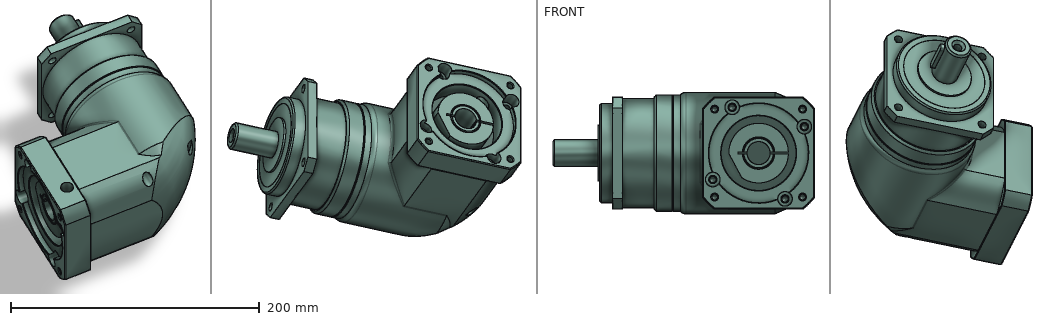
import cadquery as cq
import math


shaft_tip_x = -165.5
disc_x = -129.3
pilot_x = -127.8
flange_x = -117.5
flange_back_x = -109.7
ring_x = -84.0
joint_x = -69.0
collar_end_x = -63.0
elbow_x = -58.5

shaft_radius = 11.0
shaft_chamfer = 1.5
disc_radius = 22.5
pilot_radius = 40.0
pilot_chamfer = 1.3
seal_recess_radius = 34.3
seal_recess_depth = 0.2
square_side = 90.1
flange_corner = 8.6
flange_hole_radius = 3.4
corner_hole_offset = 35.4
body_radius = 44.0
ring_radius = 47.0
ring_chamfer = 2.0
joint_chamfer = 0.6
key_start_x = -162.0
key_length = 28.0
key_width = 6.1
key_top_y = 13.7
center_hole_radius = 3.4
center_hole_mouth_radius = 5.7
center_hole_depth = 19.0

elbow_radius = 98.0 / 2
elbow_taper_x = 13.3
elbow_taper_end_x = 24.6
elbow_end_radius = 44.0
leg_corner_radius = 51.0
crook_fillet = 2.1
dome_crown = 29.5
dome_sweep_radius = 122.1
dome_crown_radius = 75.8
leg_end_y = 10.5
side_hole_radius = 4.0
side_hole_y = -21.7
side_hole_z = 37.5
side_hole_end_x = 21.0
plug_radius = 6.3
plug_shift = 17.5
plug_z = 17.5
plug_floor = 24.9
tube_radius = 12.6
tube_bore_radius = 9.3
tube_chamfer = 0.8
tube_slot_width = 1.7
input_bore_depth = 29.5

overall_depth = 150.5
plate_front_y = elbow_radius - overall_depth
plate_back_y = -78.1
plate_corner_radius = 57.5
plate_front_chamfer = 0.8
plate_back_chamfer = 0.6
recess_radius = 40.0
recess_depth = 5.0
bore_mouth_chamfer = 0.5
plate_bore_radius = 30.1
tapped_hole_radius = 2.3
tapped_hole_mouth_radius = 3.2
tapped_hole_depth = 12.6
screw_circle_radius = 42.5
screw_start_angle = 30
screw_head_radius = 6.0
screw_head_depth = 12.6
screw_hole_radius = 3.4
screw_thread_radius = 2.5
screw_thread_depth = 10.5
access_hole_radius = 5.0
access_x = 17.5
access_y = -86.0

hub_setback = 8.2
hub_front_y = plate_front_y + hub_setback
hub_radius = 24.0
hub_flat_distance = 21.3
hub_flat_angle = 208
hub_slit_width = 1.7
hub_relief_x = -16.5
clamp_screw_radius = 2.3
clamp_head_radius = 3.5
clamp_head_depth = 3.2

drill_tip_slope = math.tan(math.radians(30))
half_side = square_side / 2
overlap = 2.1


def x_cylinder(radius, start, end):
    return cq.Workplane("YZ", origin=(start, 0, 0)).circle(radius).extrude(end - start)


def y_cylinder(radius, start, end, x=0, z=0):
    """Cylinder along +Y, from start to end."""
    return cq.Workplane("XZ", origin=(x, start, z)).circle(radius).extrude(start - end)


def box_between(low, high):
    size = [b - a for a, b in zip(low, high)]
    return cq.Workplane("XY", origin=low).box(*size, centered=False)


def blind_hole(radius, depth, mouth_radius=0):
    """Drilled hole from the origin along +X, with a conical bottom and a 45 degree mouth."""
    outline = [(0, 0)]
    if mouth_radius > radius:
        outline += [(0, mouth_radius), (mouth_radius - radius, radius)]
    else:
        outline += [(0, radius)]
    outline += [(depth, radius), (depth + radius * drill_tip_slope, 0)]
    return cq.Workplane("XY").polyline(outline).close().revolve(360, (0, 0), (1, 0))


def input_hole(x, y, z, radius, depth, mouth_radius=0):
    """Blind hole from the given point along +Y."""
    return blind_hole(radius, depth, mouth_radius).rotate((0, 0, 0), (0, 0, 1), 90).translate((x, y, z))


def corner_points():
    return [(a * corner_hole_offset, b * corner_hole_offset) for a in (-1, 1) for b in (-1, 1)]


def screw_points():
    angles = [math.radians(screw_start_angle + 90 * i) for i in range(4)]
    return [(screw_circle_radius * math.cos(a), screw_circle_radius * math.sin(a)) for a in angles]


def rounded_square(corner_radius, start, end):
    """Square bar along Y whose corners are cut by a cylinder around the input axis."""
    square = box_between((-half_side, start, -half_side), (half_side, end, half_side))
    return square.intersect(y_cylinder(corner_radius, start, end))


def make_output_stage():
    turned = (
        x_cylinder(pilot_radius, pilot_x, flange_x + overlap)
        .faces("<X").edges().chamfer(pilot_chamfer)
        .cut(x_cylinder(seal_recess_radius, pilot_x, pilot_x + seal_recess_depth))
    )
    body = x_cylinder(body_radius, flange_x, joint_x)
    ring = (
        x_cylinder(ring_radius, ring_x, joint_x)
        .faces("<X").edges().chamfer(ring_chamfer)
        .faces(">X").edges().chamfer(joint_chamfer)
    )
    flange = (
        cq.Workplane("YZ", origin=(flange_x, 0, 0))
        .rect(square_side, square_side)
        .extrude(flange_back_x - flange_x)
        .edges("|X").chamfer(flange_corner)
        .faces("<X").workplane(origin=(0, 0, 0))
        .pushPoints(corner_points())
        .hole(2 * flange_hole_radius)
    )
    shaft = x_cylinder(shaft_radius, shaft_tip_x, pilot_x + overlap).faces("<X").edges().chamfer(shaft_chamfer)
    disc = x_cylinder(disc_radius, disc_x, pilot_x + overlap)
    key = (
        cq.Workplane("XZ", origin=(key_start_x + key_length / 2, key_top_y, 0))
        .slot2D(key_length, key_width)
        .extrude(key_top_y)
    )
    center_hole = blind_hole(center_hole_radius, center_hole_depth, center_hole_mouth_radius)
    stage = body.union(ring).union(turned).union(flange).union(disc).union(shaft).union(key)
    return stage.cut(center_hole.translate((shaft_tip_x, 0, 0)))


def make_elbow():
    """Turned part of the angle housing, with a rounded shoulder and a tapered far end."""
    shoulder_drop = elbow_radius - ring_radius
    shoulder_length = elbow_x - collar_end_x
    shoulder_arc = (shoulder_length**2 + shoulder_drop**2) / (2 * shoulder_drop)
    half_angle = math.asin(shoulder_length / shoulder_arc) / 2
    shoulder_middle = (
        elbow_x - shoulder_arc * math.sin(half_angle),
        elbow_radius - shoulder_arc * (1 - math.cos(half_angle)),
    )
    return (
        cq.Workplane("XY")
        .moveTo(joint_x, 0)
        .lineTo(joint_x, ring_radius - joint_chamfer)
        .lineTo(joint_x + joint_chamfer, ring_radius)
        .lineTo(collar_end_x, ring_radius)
        .threePointArc(shoulder_middle, (elbow_x, elbow_radius))
        .lineTo(elbow_taper_x, elbow_radius)
        .lineTo(elbow_taper_end_x, elbow_end_radius)
        .lineTo(elbow_taper_end_x, 0)
        .close()
        .revolve(360, (0, 0), (1, 0))
    )


def make_dome():
    """Barrel around an upright axis whose crowned side rounds off the outer corner of the elbow."""
    height = 2 * elbow_radius
    crown_drop = dome_crown_radius - math.sqrt(dome_crown_radius**2 - elbow_radius**2)
    axis_offset = (dome_crown - dome_sweep_radius) / math.sqrt(2)
    return (
        cq.Workplane("XZ")
        .moveTo(0, -height / 2)
        .lineTo(dome_sweep_radius - crown_drop, -height / 2)
        .threePointArc((dome_sweep_radius, 0), (dome_sweep_radius - crown_drop, height / 2))
        .lineTo(0, height / 2)
        .close()
        .revolve(360, (0, 0), (0, 1))
        .translate((axis_offset, axis_offset, 0))
    )


def make_input_tube():
    tube = y_cylinder(tube_radius, hub_front_y, plate_back_y).faces("<Y").edges().chamfer(tube_chamfer)
    slot = box_between(
        (-tube_radius, hub_front_y, -tube_slot_width / 2),
        (tube_radius, plate_back_y, tube_slot_width / 2),
    )
    return tube.cut(slot)


def make_angle_housing():
    crook_low = (-elbow_radius, -elbow_radius, -elbow_radius)
    crook_high = (0, 0, elbow_radius)
    leg = rounded_square(leg_corner_radius, plate_back_y, leg_end_y)
    crook_box = cq.selectors.BoxSelector(crook_low, crook_high)
    crook = crook_box - cq.selectors.ParallelDirSelector(cq.Vector(0, 1, 0))
    nose = x_cylinder(elbow_end_radius, elbow_taper_end_x, half_side)
    nose = nose.intersect(y_cylinder(leg_corner_radius, leg_end_y, elbow_radius))
    housing = make_elbow().union(nose).union(leg).edges(crook).fillet(crook_fillet)
    housing = housing.intersect(make_dome()).union(make_input_tube())
    bore = y_cylinder(tube_bore_radius, hub_front_y, hub_front_y + input_bore_depth)
    housing = housing.cut(bore)
    for side in (-1, 1):
        housing = housing.cut(
            x_cylinder(side_hole_radius, side_hole_end_x, half_side)
            .translate((0, side_hole_y, side * side_hole_z))
        )
    for x, z in screw_points():
        housing = housing.cut(input_hole(x, plate_back_y, z, screw_thread_radius, screw_thread_depth))
    plug_recess = cq.Workplane("YZ").circle(plug_radius).extrude(elbow_radius)
    plug_recess = plug_recess.translate((plug_floor, plug_shift, plug_z)).rotate((0, 0, 0), (0, 0, 1), 45)
    return housing.cut(plug_recess)


def mouthed_bore(radius, start, end):
    """Cutter for a bore around the input axis that has a chamfered mouth at its start."""
    bore = y_cylinder(radius, start, end)
    mouth_radius = radius + bore_mouth_chamfer
    mouth = y_cylinder(mouth_radius, start, start + 2 * bore_mouth_chamfer)
    return bore.union(mouth.faces(">Y").edges().chamfer(bore_mouth_chamfer))


def make_adapter_plate():
    plate = (
        rounded_square(plate_corner_radius, plate_front_y, plate_back_y)
        .faces("<Y").edges().chamfer(plate_front_chamfer)
        .faces(">Y").edges().chamfer(plate_back_chamfer)
    )
    recess_floor_y = plate_front_y + recess_depth
    screw_seat_y = plate_front_y + screw_head_depth
    plate = plate.cut(mouthed_bore(recess_radius, plate_front_y, recess_floor_y))
    plate = plate.cut(mouthed_bore(plate_bore_radius, recess_floor_y, plate_back_y))
    for x, z in corner_points():
        plate = plate.cut(
            input_hole(x, plate_front_y, z, tapped_hole_radius, tapped_hole_depth, tapped_hole_mouth_radius)
        )
    for x, z in screw_points():
        plate = plate.cut(y_cylinder(screw_head_radius, plate_front_y, screw_seat_y, x, z))
        plate = plate.cut(y_cylinder(screw_hole_radius, plate_front_y, plate_back_y, x, z))
    access = cq.Workplane("XY", origin=(access_x, access_y, 0)).circle(access_hole_radius).extrude(half_side)
    return plate.cut(access)


def make_clamp_hub():
    hub = y_cylinder(hub_radius, hub_front_y, plate_back_y)
    flat = box_between((hub_flat_distance, hub_front_y, -hub_radius), (hub_radius, plate_back_y, hub_radius))
    hub = hub.cut(flat.rotate((0, 0, 0), (0, 1, 0), -hub_flat_angle))
    hub = hub.cut(mouthed_bore(tube_radius, hub_front_y, plate_back_y))
    slit = box_between((hub_relief_x, hub_front_y, -hub_slit_width / 2), (hub_radius, plate_back_y, hub_slit_width / 2))
    head_floor_z = math.sqrt(hub_radius**2 - access_x**2) - clamp_head_depth
    clamp_hole = (
        cq.Workplane("XY", origin=(access_x, access_y, 0))
        .circle(clamp_screw_radius)
        .extrude(hub_radius)
    )
    clamp_head = (
        cq.Workplane("XY", origin=(access_x, access_y, head_floor_z))
        .circle(clamp_head_radius)
        .extrude(hub_radius)
    )
    return hub.cut(slit).cut(clamp_hole).cut(clamp_head)


output_stage = make_output_stage()
angle_housing = make_angle_housing()
adapter_plate = make_adapter_plate()
clamp_hub = make_clamp_hub()

result = cq.Compound.makeCompound(
    [output_stage.val(), angle_housing.val(), adapter_plate.val(), clamp_hub.val()]
)